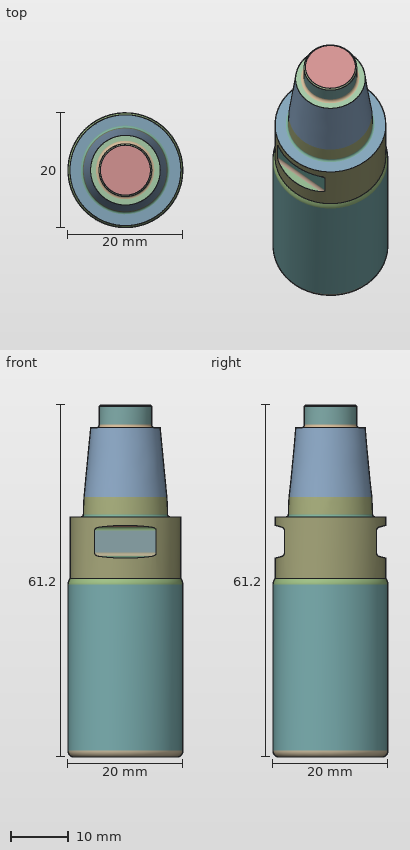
import cadquery as cq
import math

total_height = 61.2
barrel_radius = 20.0 / 2
barrel_side_top = 30.0
barrel_top = 31.1
bottom_fillet = 1.1

collar_radius = 19.3 / 2
collar_top = 41.8
slot_center_z = 37.45
slot_opening = 5.7
slot_floor_offset = 8.0
slot_wall_angle = 15.0
slot_floor_fillet = 0.6

neck_foot_radius = 7.35
neck_foot_fillet = 0.35
taper_bottom = 45.2
taper_bottom_radius = 7.2
neck_top = 57.3
neck_top_radius = 6.05

tip_radius = 9.2 / 2
tip_foot_fillet = 0.5
tip_chamfer = 0.25


def concave_fillet(profile, radius, foot_z, fillet):
    """Add an inside corner arc from a flat shoulder up to a straight wall."""
    offset = fillet * (1 - math.sqrt(0.5))
    return (
        profile.lineTo(radius + fillet, foot_z)
        .threePointArc((radius + offset, foot_z + offset), (radius, foot_z + fillet))
    )


def make_barrel():
    inset = barrel_radius - collar_radius
    rise = barrel_top - barrel_side_top
    arc_radius = (inset**2 + rise**2) / (2 * inset)
    half_angle = math.asin(rise / arc_radius) / 2
    arc_middle = (
        barrel_radius - arc_radius * (1 - math.cos(half_angle)),
        barrel_side_top + arc_radius * math.sin(half_angle),
    )
    profile = (
        cq.Workplane("XZ")
        .lineTo(barrel_radius, 0)
        .lineTo(barrel_radius, barrel_side_top)
        .threePointArc(arc_middle, (collar_radius, barrel_top))
        .lineTo(0, barrel_top)
        .close()
    )
    return profile.revolve(360, (0, 0, 0), (0, 1, 0)).faces("<Z").edges().fillet(bottom_fillet)


def make_slot_cutter():
    """Make a slot on the +Y side that narrows toward its flat floor."""
    outer_y = barrel_radius
    wall_slope = math.tan(math.radians(slot_wall_angle))
    floor_half = slot_opening / 2 - (collar_radius - slot_floor_offset) * wall_slope
    outer_half = slot_opening / 2 + (outer_y - collar_radius) * wall_slope
    return (
        cq.Workplane("YZ")
        .moveTo(slot_floor_offset, slot_center_z - floor_half)
        .lineTo(outer_y, slot_center_z - outer_half)
        .lineTo(outer_y, slot_center_z + outer_half)
        .lineTo(slot_floor_offset, slot_center_z + floor_half)
        .close()
        .extrude(collar_radius, both=True)
        .faces("<Y")
        .edges("|X")
        .fillet(slot_floor_fillet)
    )


def make_adapter():
    profile = (
        cq.Workplane("XZ")
        .moveTo(0, barrel_top)
        .lineTo(collar_radius, barrel_top)
        .lineTo(collar_radius, collar_top)
    )
    profile = concave_fillet(profile, neck_foot_radius, collar_top, neck_foot_fillet)
    profile = profile.tangentArcPoint((taper_bottom_radius, taper_bottom), relative=False)
    profile = profile.lineTo(neck_top_radius, neck_top)
    profile = concave_fillet(profile, tip_radius, neck_top, tip_foot_fillet)
    profile = (
        profile.lineTo(tip_radius, total_height - tip_chamfer)
        .lineTo(tip_radius - tip_chamfer, total_height)
        .lineTo(0, total_height)
        .close()
    )
    adapter = profile.revolve(360, (0, 0, 0), (0, 1, 0))

    slot_cutter = make_slot_cutter()
    for angle in (0, 180):
        adapter = adapter.cut(slot_cutter.rotate((0, 0, 0), (0, 0, 1), angle))
    return adapter


barrel = make_barrel()
adapter = make_adapter()
result = cq.Compound.makeCompound([barrel.val(), *adapter.vals()])